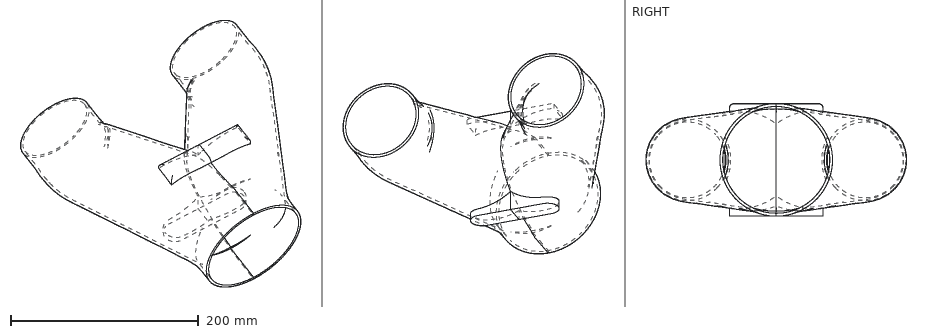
import cadquery as cq
import math

length = 245.0
wall = 3.0

outlet_radius = 87.0 / 2
outlet_offset = 94.7
collar_length = 25.0

leg_angle = 30.5
leg_end_x = 210.0
leg_end_radius = 58.3
bend_radius = 47.2

inlet_radius = 60.0
inlet_bore_start = 200.0
ramp_start_x = 188.3
ramp_start_radius = 55.5
ramp_end_x = 205.5
blend_radius = 50.0

plate_start = 135.5
plate_width = 25.0
plate_length = 100.0
plate_round = 5.0

web_top = 53.5
web_end = 189.0
web_half_width = 25.0
web_fillet = 25.0

angle = math.radians(leg_angle)
leg_direction = (math.cos(angle), -math.sin(angle), 0)
bend_x = leg_end_x - outlet_offset / math.tan(angle)
bend_start_x = bend_x - bend_radius * math.tan(angle / 2)
plate_middle = plate_start + plate_width / 2
plate_end = plate_start + plate_width

reach = 0.3
clear_of_mid_plane = 2.8


def bend_point(turn):
    """Point on the bend of the leg axis after turning through `turn` radians."""
    return (
        bend_start_x + bend_radius * math.sin(turn),
        outlet_offset - bend_radius * (1 - math.cos(turn)),
    )


def leg_path():
    """Axis of the +Y leg: along X out of the collar, round a bend, then straight to the mid-plane."""
    return (
        cq.Workplane("XY")
        .moveTo(collar_length, outlet_offset)
        .lineTo(bend_start_x, outlet_offset)
        .threePointArc(bend_point(angle / 2), bend_point(angle))
        .lineTo(leg_end_x, 0)
        .wire()
        .val()
    )


def leg_section(center, normal, radius):
    """Circle across the leg axis, starting on the side that faces the other leg."""
    start_direction = (normal[1], -normal[0], 0)
    plane = cq.Plane(origin=center, xDir=start_direction, normal=normal)
    return cq.Workplane(plane).circle(radius).wires().val()


def leg(inset):
    """Solid tapered leg whose surface lies `inset` inside the outer skin."""
    start = leg_section((collar_length, outlet_offset, 0), (1, 0, 0), outlet_radius - inset)
    end = leg_section((leg_end_x, 0, 0), leg_direction, leg_end_radius - inset)
    return cq.Workplane(cq.Solid.sweep_multi([start, end], leg_path()))


def collar(inset):
    return (
        cq.Workplane("YZ")
        .center(outlet_offset, 0)
        .circle(outlet_radius - inset)
        .extrude(collar_length)
    )


def ramped_inlet():
    """Solid inlet tube with the cone that leads up to it from the valley between the legs."""
    return (
        cq.Workplane("XY")
        .moveTo(ramp_start_x, 0)
        .lineTo(ramp_start_x, ramp_start_radius)
        .lineTo(ramp_end_x, inlet_radius)
        .lineTo(length, inlet_radius)
        .lineTo(length, 0)
        .close()
        .revolve(360, (0, 0, 0), (1, 0, 0))
    )


def inlet_bore():
    return (
        cq.Workplane("YZ", origin=(inlet_bore_start, 0, 0))
        .circle(inlet_radius - wall)
        .extrude(length - inlet_bore_start)
    )


def positive_y(shape):
    """The part of a shape on the +Y side of the mid-plane."""
    side = 2 * length
    return shape.intersect(cq.Workplane("XY").box(side, side, side, centered=(True, False, True)))


def blended_skin():
    """Solid outer form of the leg and the inlet, filleted where they meet."""
    skin = positive_y(leg(0).union(ramped_inlet()))
    joints = cq.selectors.BoxSelector(
        (ramp_start_x, clear_of_mid_plane, -inlet_radius),
        (length - reach, inlet_radius, inlet_radius),
    )
    return skin.edges(joints).edges("not %CIRCLE").fillet(blend_radius)


def add_web(plated_skin):
    """Adds the flat web, from inside the label plate, filleted where it runs into the leg."""
    web = (
        cq.Workplane("XY")
        .box(web_end - plate_middle, web_half_width, web_top, centered=False)
        .translate((plate_middle, 0, 0))
    )
    joints = cq.selectors.BoxSelector(
        (plate_end + reach, clear_of_mid_plane, web_top - reach),
        (web_end, web_half_width, web_top + reach),
    )
    return plated_skin.union(web).edges(joints).edges("not %LINE").fillet(web_fillet)


def label_plate():
    plate = (
        cq.Workplane("XY")
        .center(plate_middle, 0)
        .rect(plate_width, plate_length)
        .extrude(inlet_radius)
        .faces(">Z")
        .edges()
        .fillet(plate_round)
    )
    return positive_y(plate)


def foot():
    return positive_y(
        cq.Workplane("XY")
        .center(plate_middle, 0)
        .slot2D(plate_length, plate_width, 90)
        .extrude(-inlet_radius)
    )


def pipe_half():
    """The hollow +Y half of the pipe."""
    outside = add_web(blended_skin().union(label_plate())).union(foot()).union(collar(0))
    bore = leg(wall).union(collar(wall)).union(inlet_bore())
    return outside.cut(bore)


left_half = pipe_half()
right_half = left_half.mirror("XZ")
result = cq.Compound.makeCompound([left_half.val(), right_half.val()])